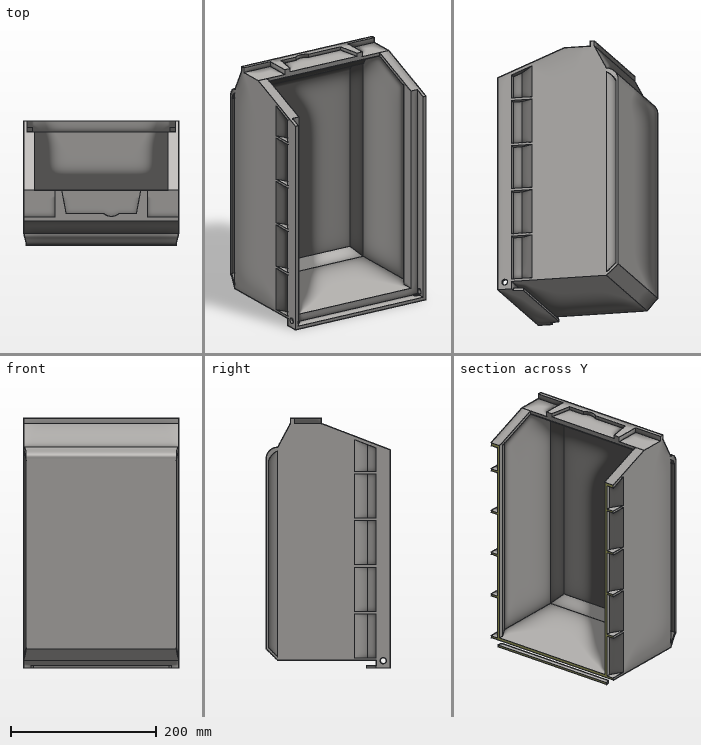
import cadquery as cq
import math


WIDTH = 213.11
DEPTH = 170.91
HEIGHT = 343.4
HALF_WIDTH = WIDTH / 2
CLEAR = 50.0

WALL = 4.7
RIB = 3.5

RIM_DEPTH = 19.8
RIM_INNER_DEPTH = RIM_DEPTH - WALL
FOOT_HEIGHT = 10.5
SIDE_TOP = 300.0

DECK_BACK = 95.0
DECK_FRONT = 137.5
DECK_RAISE = 7.0
DECK_TOP = HEIGHT - DECK_RAISE
LIP = 5.8
LIP_BACK = DECK_FRONT - LIP
NOTCH_WIDTH = 43.3
LABEL_BACK_HALF = 54.3
LABEL_FRONT_HALF = 48.3
LABEL_FRONT = 127.3
LABEL_DEPTH = 4.7
THUMB_X = 14.0
THUMB_HALF = 10.5
THUMB_SAG = 3.8

PANEL_RISE = 16.0
PANEL_START = DEPTH - PANEL_RISE
PANEL_TOP = 303.7
BEND_RADIUS = 16.3
SKIN = 3.5
SKIN_BACK = DEPTH - SKIN
SKIN_INSET = 3.2
SKIN_BEND_START = PANEL_TOP - 5.2
SKIN_BEND_END = 285.6
SKIN_BEND_RADIUS = 25.0

POCKET_DEPTH = RIM_INNER_DEPTH - WALL
POCKET_FLAT_END = 31.6
POCKET_END = 49.1
POCKET_PITCH = 64.03
POCKET_COUNT = 5

HINGE_DIAMETER = 8.02
HINGE_DEPTH = RIM_DEPTH / 2
HINGE_HEIGHT = 10.2
TAB_THICKNESS = RIB
TAB_END = 33.1
TAB_BACK_INSET = 10.2
TAB_FRONT_INSET = 13.4
PAD_START = 9.3
PAD_END = 14.2
PAD_WIDTH = 7.4
PAD_HEIGHT = 1.2


def plan_prism(points, bottom, top):
    """Prism over (x, depth) points, between two heights."""
    outline = [(x, -depth) for x, depth in points]
    return cq.Workplane("XY").workplane(offset=bottom).polyline(outline).close().extrude(top - bottom)


def box(half_width, start, end, bottom, top):
    """Block centred on X = 0, between two depths and two heights."""
    corners = [(-half_width, start), (half_width, start), (half_width, end), (-half_width, end)]
    return plan_prism(corners, bottom, top)


def both_sides(solid):
    return solid.union(solid.mirror("YZ"))


def shell_section():
    """Side section of the bin without its foot and raised deck, in (Y, Z)."""
    bend_turn = math.acos(1 - PANEL_RISE / BEND_RADIUS)
    bend_end = PANEL_TOP - BEND_RADIUS * math.sin(bend_turn)
    bend_middle = (
        -DEPTH + BEND_RADIUS * (1 - math.cos(bend_turn / 2)),
        bend_end + BEND_RADIUS * math.sin(bend_turn / 2),
    )
    return (
        cq.Workplane("YZ")
        .moveTo(0, FOOT_HEIGHT)
        .lineTo(0, SIDE_TOP)
        .lineTo(-DECK_BACK, DECK_TOP)
        .lineTo(-DECK_FRONT, DECK_TOP)
        .lineTo(-PANEL_START, PANEL_TOP)
        .threePointArc(bend_middle, (-DEPTH, bend_end))
        .lineTo(-DEPTH, FOOT_HEIGHT + PANEL_RISE)
        .lineTo(-PANEL_START, FOOT_HEIGHT)
        .close()
    )


def mirrored_plan(half_points):
    """Closed plan outline from the (inset from the side, depth) points of one side."""
    right = [(HALF_WIDTH - inset, depth) for inset, depth in half_points]
    left = [(-x, depth) for x, depth in reversed(right)]
    return right + left


def section_prism(inset=0.0):
    """Shell section, shrunk by an inset, over the full width."""
    section = shell_section()
    if inset:
        section = section.offset2D(-inset)
    return section.extrude(HALF_WIDTH, both=True)


def outer_body():
    plan = mirrored_plan([(0, 0), (0, PANEL_START), (SKIN_INSET, SKIN_BACK), (SKIN_INSET, DEPTH)])
    body = section_prism().intersect(plan_prism(plan, 0, HEIGHT)).cut(both_sides(side_bevel()))
    foot = box(HALF_WIDTH, 0, RIM_DEPTH, 0, FOOT_HEIGHT + WALL)
    return body.union(foot).union(raised_deck())


def side_bevel():
    """Bevelled space behind the overhanging edge of the panel skin."""
    run = SKIN_BACK - PANEL_START
    plan = [
        (HALF_WIDTH, PANEL_START),
        (HALF_WIDTH - run, SKIN_BACK),
        (HALF_WIDTH, SKIN_BACK),
    ]
    bottom = FOOT_HEIGHT + SKIN * math.sqrt(2)
    section = (
        cq.Workplane("YZ")
        .moveTo(-PANEL_START, bottom)
        .lineTo(-PANEL_START, SKIN_BEND_START)
        .radiusArc((-SKIN_BACK, SKIN_BEND_END), -SKIN_BEND_RADIUS)
        .lineTo(-SKIN_BACK, bottom + run)
        .close()
        .extrude(HALF_WIDTH, both=True)
    )
    return plan_prism(plan, 0, HEIGHT).intersect(section)


def raised_deck():
    deck = box(HALF_WIDTH, DECK_BACK, DECK_FRONT, DECK_TOP, HEIGHT)
    notch_edge = HALF_WIDTH - NOTCH_WIDTH
    notch_plan = [
        (notch_edge, DECK_BACK),
        (HALF_WIDTH, DECK_BACK),
        (HALF_WIDTH, LIP_BACK),
        (notch_edge, LIP_BACK),
    ]
    end_notch = plan_prism(notch_plan, DECK_TOP, HEIGHT)
    label = (
        cq.Workplane("XY")
        .workplane(offset=HEIGHT - LABEL_DEPTH)
        .moveTo(-LABEL_BACK_HALF, -DECK_BACK)
        .lineTo(-LABEL_FRONT_HALF, -LABEL_FRONT)
        .lineTo(THUMB_X - THUMB_HALF, -LABEL_FRONT)
        .threePointArc((THUMB_X, -LABEL_FRONT - THUMB_SAG), (THUMB_X + THUMB_HALF, -LABEL_FRONT))
        .lineTo(LABEL_FRONT_HALF, -LABEL_FRONT)
        .lineTo(LABEL_BACK_HALF, -DECK_BACK)
        .close()
        .extrude(LABEL_DEPTH)
    )
    return deck.cut(both_sides(end_notch)).cut(label)


def cavity():
    slope_run = POCKET_END - POCKET_FLAT_END
    shift = WALL * math.tan(math.atan2(POCKET_DEPTH, slope_run) / 2)
    bevel_shift = WALL * math.tan(math.pi / 8)
    plan = mirrored_plan(
        [
            (RIM_INNER_DEPTH, RIM_INNER_DEPTH),
            (RIM_INNER_DEPTH, POCKET_FLAT_END + shift),
            (WALL, POCKET_END + shift),
            (WALL, PANEL_START - bevel_shift),
            (WALL + DEPTH - PANEL_START, DEPTH - bevel_shift),
        ]
    )
    chamber = section_prism(WALL).intersect(plan_prism(plan, 0, HEIGHT))
    mouth = box(HALF_WIDTH - RIM_INNER_DEPTH, 0, DECK_BACK, FOOT_HEIGHT + WALL, HEIGHT)
    rim = box(HALF_WIDTH - WALL, -CLEAR, RIM_INNER_DEPTH, WALL, HEIGHT)
    return chamber.union(mouth).union(rim)


def side_pockets():
    """Ribbed recesses behind the rim on both side walls."""
    plan = [
        (HALF_WIDTH + CLEAR, RIM_DEPTH),
        (HALF_WIDTH - POCKET_DEPTH, RIM_DEPTH),
        (HALF_WIDTH - POCKET_DEPTH, POCKET_FLAT_END),
        (HALF_WIDTH, POCKET_END),
        (HALF_WIDTH + CLEAR, POCKET_END),
    ]
    first_bottom = FOOT_HEIGHT + RIB
    pockets = cq.Workplane("XY")
    for index in range(POCKET_COUNT):
        bottom = first_bottom + index * POCKET_PITCH
        pockets = pockets.add(plan_prism(plan, bottom, bottom + POCKET_PITCH - RIB))
    under_slope = shell_section().offset2D(-WALL).extrude(HALF_WIDTH + CLEAR, both=True)
    lowest = box(HALF_WIDTH + CLEAR, RIM_DEPTH, POCKET_END, first_bottom, first_bottom + POCKET_PITCH)
    return both_sides(pockets.combine().intersect(under_slope.union(lowest)))


def hanging_tab():
    plan = mirrored_plan([(TAB_BACK_INSET, RIM_DEPTH), (TAB_FRONT_INSET, TAB_END)])
    return plan_prism(plan, 0, TAB_THICKNESS)


def corner_pads():
    """Low pads on the rim floor, in its two corners."""
    outer = HALF_WIDTH - WALL
    plan = [
        (outer, PAD_START),
        (outer, PAD_END),
        (outer - PAD_WIDTH, PAD_END),
        (outer - PAD_WIDTH, PAD_START),
    ]
    return both_sides(plan_prism(plan, WALL, WALL + PAD_HEIGHT))


def hinge_holes():
    return (
        cq.Workplane("YZ")
        .center(-HINGE_DEPTH, HINGE_HEIGHT)
        .circle(HINGE_DIAMETER / 2)
        .extrude(HALF_WIDTH, both=True)
    )


result = (
    outer_body()
    .cut(cavity())
    .cut(side_pockets())
    .union(hanging_tab())
    .union(corner_pads())
    .cut(hinge_holes())
)